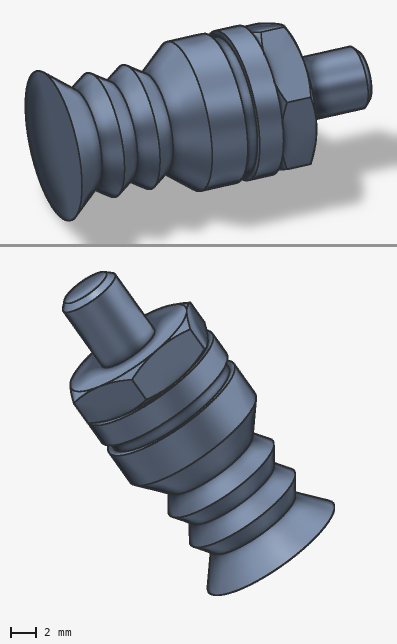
import cadquery as cq
import math

lip_radius = 6.0
fold_outer_radius = 5.0
fold_inner_radius = 4.0
body_radius = lip_radius
groove_radius = 5.5
stud_radius = 2.5

lip_length = 2.5
fold_length = 3.0
fold_count = 2
shoulder_length = 2.5
front_band_length = 3.0
groove_length = 1.01
rear_band_length = 2.0
hex_length = 3.0
total_length = 26.0
stud_chamfer = 0.5

hex_across_flats = 11.0
hex_chamfer_angle = 30.0

bellows_end = lip_length + fold_count * fold_length
shoulder_end = bellows_end + shoulder_length
groove_start = shoulder_end + front_band_length
groove_end = groove_start + groove_length
body_end = groove_end + rear_band_length
hex_end = body_end + hex_length


def revolve_about_y(outline):
    """Turn a closed (radius, y) outline around the Y axis."""
    return cq.Workplane("XY").polyline(outline).close().revolve(360, (0, 0, 0), (0, 1, 0))


def make_cup_and_body():
    outline = [(0, 0), (lip_radius, 0), (fold_inner_radius, lip_length)]
    for fold in range(fold_count):
        fold_start = lip_length + fold * fold_length
        outline.append((fold_outer_radius, fold_start + fold_length / 2))
        outline.append((fold_inner_radius, fold_start + fold_length))
    outline += [
        (body_radius, shoulder_end),
        (body_radius, groove_start),
        (groove_radius, groove_start),
        (groove_radius, groove_end),
        (body_radius, groove_end),
        (body_radius, body_end),
        (0, body_end),
    ]
    return revolve_about_y(outline)


def make_hex_nut():
    """Hexagon with corners on Z, its corners bevelled at both ends."""
    corner_radius = hex_across_flats / 2 / math.cos(math.radians(30))
    face_radius = hex_across_flats / 2
    bevel_length = (corner_radius - face_radius) * math.tan(math.radians(hex_chamfer_angle))
    hexagon = (
        cq.Workplane("XZ", origin=(0, body_end, 0))
        .transformed(rotate=(0, 0, 90))
        .polygon(6, 2 * corner_radius)
        .extrude(-hex_length)
    )
    bevel_envelope = revolve_about_y([
        (0, body_end),
        (face_radius, body_end),
        (corner_radius, body_end + bevel_length),
        (corner_radius, hex_end - bevel_length),
        (face_radius, hex_end),
        (0, hex_end),
    ])
    return hexagon.intersect(bevel_envelope)


def make_stud():
    return (
        cq.Workplane("XZ", origin=(0, hex_end, 0))
        .circle(stud_radius)
        .extrude(hex_end - total_length)
        .faces(">Y")
        .chamfer(stud_chamfer)
    )


result = make_cup_and_body().union(make_hex_nut()).union(make_stud())